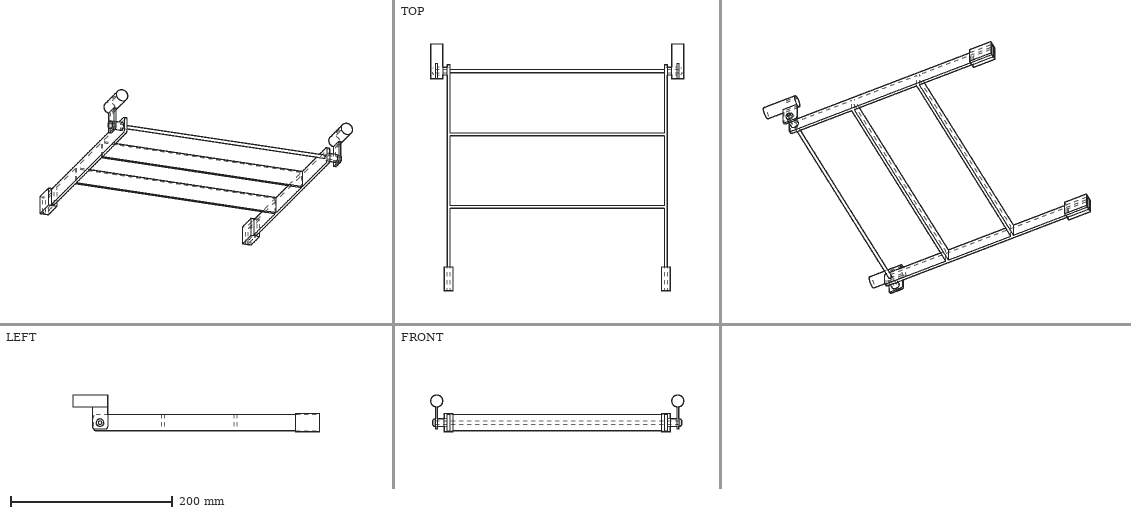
import cadquery as cq

WIDTH = 314.0
DEPTH = 306.0
HEIGHT = 46.0
BACK_Y = DEPTH / 2
FRONT_Y = -DEPTH / 2
SIDES = (-1, 1)

BAR_THICKNESS = 3.8
BAR_HEIGHT = 20.5
BAR_X = 134.7
BAR_BACK_GAP = 25.7
BAR_CORNER_RADIUS = 3.0
FIRST_CROSSBAR_GAP = 112.0
CROSSBAR_SPACING = 89.8
CROSSBAR_COUNT = 2

SLEEVE_WIDTH = 11.3
SLEEVE_LENGTH = 29.8
SLEEVE_HEIGHT = 23.0
AXIS_Z = SLEEVE_HEIGHT / 2

PEG_DIAMETER = 15.0
PEG_LENGTH = 43.3
PLATE_THICKNESS = 2.5
PLATE_WIDTH = 19.0
PLATE_BOTTOM_Z = 3.5
PLATE_CORNER_RADIUS = 3.0
PEG_X = (WIDTH - PEG_DIAMETER) / 2
PEG_FRONT_Y = BACK_Y - PEG_LENGTH

ROD_DIAMETER = 4.5
BOSS_DIAMETER = 10.0
CAP_DIAMETER = 9.0
CAP_LENGTH = 3.8
ROD_Y = PEG_FRONT_Y + PLATE_WIDTH / 2
PLATE_INNER_X = PEG_X - PLATE_THICKNESS / 2
PLATE_OUTER_X = PEG_X + PLATE_THICKNESS / 2
BAR_OUTER_X = BAR_X + BAR_THICKNESS / 2
ROD_END_X = PLATE_OUTER_X + CAP_LENGTH


def box_between(x_range, y_range, z_range):
    """Axis-aligned block spanning the three given ranges."""
    (x0, x1), (y0, y1), (z0, z1) = x_range, y_range, z_range
    return cq.Workplane("XY").box(x1 - x0, y1 - y0, z1 - z0, centered=False).translate((x0, y0, z0))


def around(center, size):
    """Range of the given size centred on a value."""
    return (center - size / 2, center + size / 2)


def rod_cylinder(diameter, x0, x1):
    """Cylinder on the pivot axis between two X positions."""
    return (
        cq.Workplane("YZ", origin=(x0, ROD_Y, AXIS_Z))
        .circle(diameter / 2)
        .extrude(x1 - x0)
    )


def make_rod():
    return rod_cylinder(ROD_DIAMETER, -ROD_END_X, ROD_END_X)


def make_side_bar(side):
    bar = box_between(
        around(side * BAR_X, BAR_THICKNESS),
        (FRONT_Y, BACK_Y - BAR_BACK_GAP),
        around(AXIS_Z, BAR_HEIGHT),
    )
    return bar.faces(">Y").edges("|X").fillet(BAR_CORNER_RADIUS)


def make_boss(side):
    """Round spacer between a side bar and its hanger plate."""
    x0, x1 = sorted((side * BAR_OUTER_X, side * PLATE_INNER_X))
    return rod_cylinder(BOSS_DIAMETER, x0, x1)


def make_frame():
    """Two side bars with bosses, joined by the crossbars and bored for the rod."""
    frame = make_side_bar(SIDES[0])
    frame = frame.union(make_side_bar(SIDES[1]))
    for index in range(CROSSBAR_COUNT):
        y = BACK_Y - FIRST_CROSSBAR_GAP - index * CROSSBAR_SPACING
        crossbar = box_between(
            (-BAR_X, BAR_X), around(y, BAR_THICKNESS), around(AXIS_Z, BAR_HEIGHT)
        )
        frame = frame.union(crossbar)
    for side in SIDES:
        frame = frame.union(make_boss(side))
    return frame.cut(make_rod())


def make_sleeve(side):
    """Rectangular sleeve, open at both ends, around the front of a side bar."""
    y_range = (FRONT_Y, FRONT_Y + SLEEVE_LENGTH)
    x = side * BAR_X
    outer = box_between(around(x, SLEEVE_WIDTH), y_range, around(AXIS_Z, SLEEVE_HEIGHT))
    opening = box_between(around(x, BAR_THICKNESS), y_range, around(AXIS_Z, BAR_HEIGHT))
    return outer.cut(opening)


def make_hanger(side):
    """Peg and plate in one piece; the plate top reaches the crown of the peg."""
    x = side * PEG_X
    peg = (
        cq.Workplane("XZ", origin=(x, BACK_Y, HEIGHT - PEG_DIAMETER / 2))
        .circle(PEG_DIAMETER / 2)
        .extrude(PEG_LENGTH)
    )
    plate = box_between(
        around(x, PLATE_THICKNESS),
        (PEG_FRONT_Y, PEG_FRONT_Y + PLATE_WIDTH),
        (PLATE_BOTTOM_Z, HEIGHT),
    )
    plate = plate.faces("<Z").edges("|X").fillet(PLATE_CORNER_RADIUS)
    return peg.union(plate).cut(make_rod())


def make_end_cap(side):
    """Domed cap around the rod end, bearing on the outside of a hanger plate."""
    base_radius = CAP_DIAMETER / 2
    bore_radius = ROD_DIAMETER / 2
    dome_radius = base_radius - bore_radius
    cap = (
        cq.Workplane("XY")
        .moveTo(PLATE_OUTER_X, bore_radius)
        .lineTo(PLATE_OUTER_X, base_radius)
        .lineTo(ROD_END_X - dome_radius, base_radius)
        .radiusArc((ROD_END_X, bore_radius), dome_radius)
        .close()
        .revolve(360, (0, 0, 0), (1, 0, 0))
    )
    if side < 0:
        cap = cap.mirror("YZ")
    return cap.translate((0, ROD_Y, AXIS_Z))


frame = make_frame()
rod = make_rod()
sleeves = [make_sleeve(side) for side in SIDES]
hangers = [make_hanger(side) for side in SIDES]
end_caps = [make_end_cap(side) for side in SIDES]

bodies = [frame, rod, *sleeves, *hangers, *end_caps]
result = cq.Compound.makeCompound([body.val() for body in bodies])